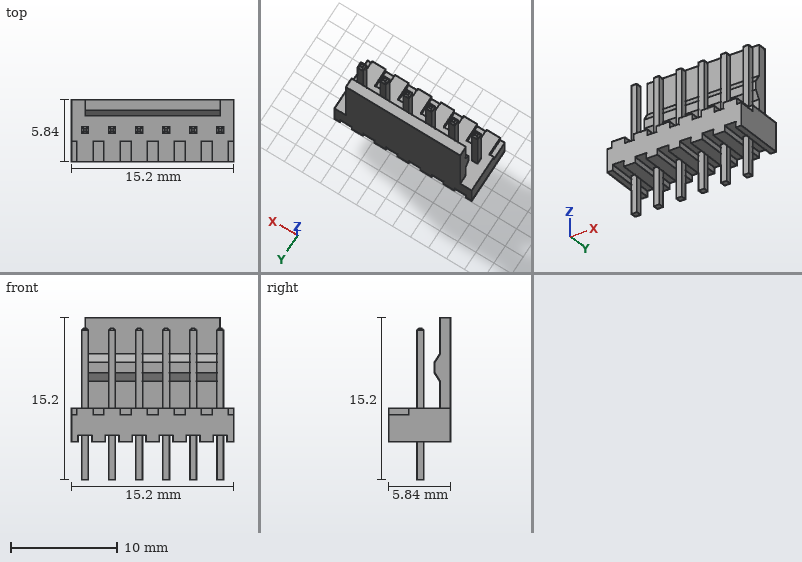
import cadquery as cq

pin_count = 6
base_width = 15.24
pitch = base_width / pin_count
total_depth = 5.84
total_height = 15.24

base_bottom = 3.57
base_top = 6.74

notch_width = 1.02
notch_length = 1.92
notch_depth = 0.64

channel_width = pitch / 2
channel_depth = 0.62

pin_size = 0.64
pin_y = 2.99
pin_top = 14.23
tip_height = 0.2
tip_size = 0.25

wall_width = base_width - pitch
wall_thickness = 1.0
ridge_height = 0.52
ridge_center_z = 10.55
ridge_root = 2.6
ridge_crest = 0.96

pin_positions = [(i - (pin_count - 1) / 2) * pitch for i in range(pin_count)]
notch_positions = [(i - pin_count / 2) * pitch for i in range(pin_count + 1)]


def box(x_center, width, y_min, y_max, z_min, z_max):
    """Block centred on x_center, between the given Y and Z limits."""
    block = cq.Workplane("XY").box(width, y_max - y_min, z_max - z_min, centered=(True, False, False))
    return block.translate((x_center, y_min, z_min))


def make_base():
    base = box(0, base_width, 0, total_depth, base_bottom, base_top)
    for x in notch_positions:
        base = base.cut(box(x, notch_width, 0, notch_length, base_top - notch_depth, base_top))
    for x in pin_positions:
        base = base.cut(box(x, channel_width, 0, total_depth, base_bottom, base_bottom + channel_depth))
    return base


def make_locking_wall():
    """Wall and ridge drawn as one side profile and extruded along X."""
    wall_front = total_depth - wall_thickness
    ridge_front = wall_front - ridge_height
    profile = [
        (total_depth, base_top),
        (total_depth, total_height),
        (wall_front, total_height),
        (wall_front, ridge_center_z + ridge_root / 2),
        (ridge_front, ridge_center_z + ridge_crest / 2),
        (ridge_front, ridge_center_z - ridge_crest / 2),
        (wall_front, ridge_center_z - ridge_root / 2),
        (wall_front, base_top),
    ]
    return cq.Workplane("YZ").polyline(profile).close().extrude(wall_width / 2, both=True)


def make_pin(x):
    shoulder_z = pin_top - tip_height
    shaft = box(x, pin_size, pin_y - pin_size / 2, pin_y + pin_size / 2, 0, shoulder_z)
    tip = (
        cq.Workplane("XY", origin=(x, pin_y, shoulder_z))
        .rect(pin_size, pin_size)
        .workplane(offset=tip_height)
        .rect(tip_size, tip_size)
        .loft(ruled=True)
    )
    return shaft.union(tip)


result = make_base().union(make_locking_wall())
for pin_x in pin_positions:
    result = result.union(make_pin(pin_x))